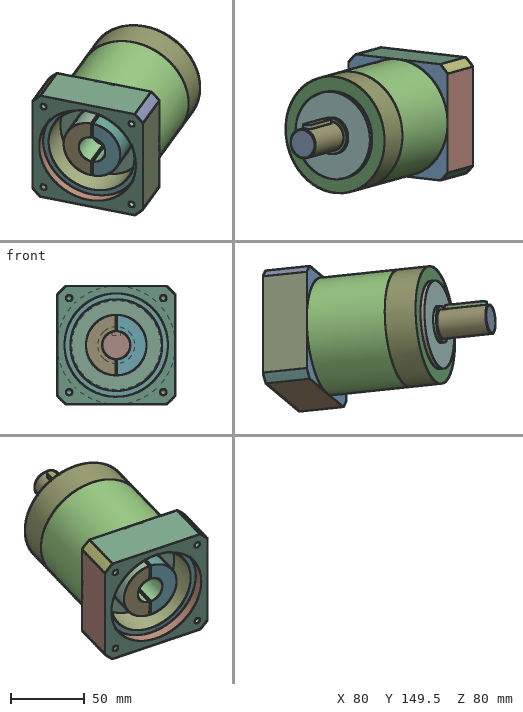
import cadquery as cq
import math

total_length = 149.5
front_y = -total_length / 2
flange_length = 31.5
ring_length = 55.9
housing_length = 22.1
pilot_length = 2.8
collar_length = 2.1
ring_y = front_y + flange_length
housing_y = ring_y + ring_length
pilot_y = housing_y + housing_length
collar_y = pilot_y + pilot_length
shaft_y = collar_y + collar_length
shaft_end_y = total_length / 2

body_width = 80.0
pilot_diameter = 60.0

flange_corner_diameter = 105.1
register_diameter = 70.0
register_depth = 7.5
cavity_diameter = 62.0
bolt_circle_diameter = 90.0
bolt_hole_diameter = 4.2
bolt_hole_depth = 12.0
drill_tip_angle = 118.0

hub_diameter = 41.0
hub_recess = 8.4
hub_bore_diameter = 19.0
hub_slit_width = 1.3
disc_thickness = 1.5

shaft_diameter = 20.0
collar_diameter = 25.0
shaft_chamfer = 0.5
key_width = 6.0
key_height = key_width
key_length = 30.0
key_end_gap = 3.0
key_top_z = 12.4


def cylinder(diameter, start_y, length):
    """Cylinder on the Y axis, running from start_y toward +Y."""
    plane = cq.Workplane("XZ", origin=(0, start_y, 0))
    return plane.circle(diameter / 2).extrude(-length)


def make_bolt_hole():
    """Blind drilled hole with a conical tip on the Y axis, opening at the flange face."""
    radius = bolt_hole_diameter / 2
    tip_depth = radius / math.tan(math.radians(drill_tip_angle / 2))
    wall_end_y = front_y + bolt_hole_depth
    profile = (
        cq.Workplane("XY")
        .moveTo(0, front_y)
        .lineTo(radius, front_y)
        .lineTo(radius, wall_end_y)
        .lineTo(0, wall_end_y + tip_depth)
        .close()
    )
    return profile.revolve(360, (0, 0, 0), (0, 1, 0))


def make_flange():
    """Square flange with rounded-off corners, a motor register, a through cavity and bolt holes."""
    flange = cq.Workplane("XY").box(body_width, flange_length, body_width)
    flange = flange.translate((0, front_y + flange_length / 2, 0))
    flange = flange.intersect(cylinder(flange_corner_diameter, front_y, flange_length))
    flange = flange.cut(cylinder(cavity_diameter, front_y, flange_length))
    flange = flange.cut(cylinder(register_diameter, front_y, register_depth))
    bolt_offset = bolt_circle_diameter / 2 / math.sqrt(2)
    for x_side in (-1, 1):
        for z_side in (-1, 1):
            hole_place = (x_side * bolt_offset, 0, z_side * bolt_offset)
            flange = flange.cut(make_bolt_hole().translate(hole_place))
    return flange


def make_input_hub():
    """Bored clamp hub, slit across its full diameter down to its disc."""
    hub_y = front_y + hub_recess
    disc_y = ring_y - disc_thickness
    clamp_length = disc_y - hub_y
    slit = cq.Workplane("XY").box(hub_slit_width, clamp_length, hub_diameter)
    slit = slit.translate((0, hub_y + clamp_length / 2, 0))
    clamp = cylinder(hub_diameter, hub_y, clamp_length).cut(slit)
    hub = cylinder(cavity_diameter, disc_y, disc_thickness).union(clamp)
    return hub.cut(cylinder(hub_bore_diameter, hub_y, ring_y - hub_y))


def make_ring_gear():
    """Plain cylindrical middle section."""
    return cylinder(body_width, ring_y, ring_length)


def make_output_housing():
    """Output section with its raised centring pilot."""
    housing = cylinder(body_width, housing_y, housing_length)
    return housing.union(cylinder(pilot_diameter, pilot_y, pilot_length))


def make_key():
    """Round-ended parallel key lying along the top of the shaft."""
    key_middle_y = shaft_end_y - key_end_gap - key_length / 2
    key_plane = cq.Workplane("XY", origin=(0, key_middle_y, key_top_z - key_height))
    return key_plane.slot2D(key_length, key_width, 90).extrude(key_height)


def make_output_shaft(key_body):
    """Chamfered shaft with a collar at its root and a keyway that fits the key."""
    shaft = cylinder(shaft_diameter, shaft_y, shaft_end_y - shaft_y)
    shaft = shaft.faces(">Y").chamfer(shaft_chamfer)
    shaft = shaft.union(cylinder(collar_diameter, collar_y, collar_length))
    return shaft.cut(key_body)


flange = make_flange()
input_hub = make_input_hub()
ring_gear = make_ring_gear()
output_housing = make_output_housing()
key = make_key()
output_shaft = make_output_shaft(key)

result = cq.Compound.makeCompound(
    [
        flange.val(),
        input_hub.val(),
        ring_gear.val(),
        output_housing.val(),
        output_shaft.val(),
        key.val(),
    ]
)